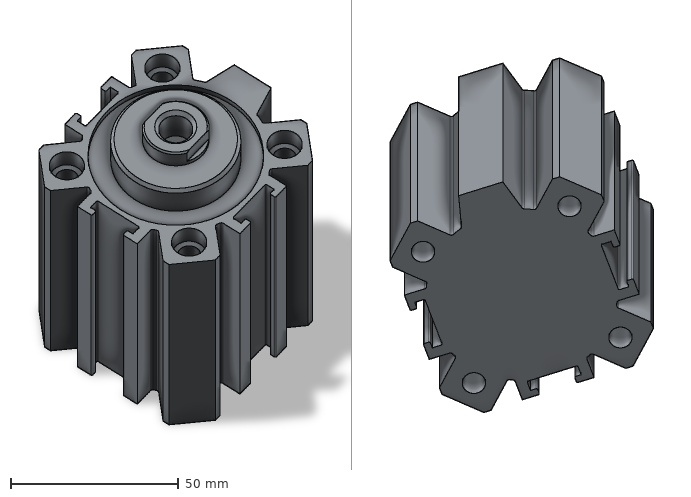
import cadquery as cq
total_height = 94.0
barrel_height = 79.9
collar_top = 87.9

barrel_width = 67.0
barrel_depth = 71.0
core_radius = 28.7
root_fillet = 0.8
lug_width = 17.2
lug_reach = 40.4

rail_reach = 33.3
rail_width = 22.75
slot_floor = 27.9
slot_width = 16.1
slot_opening = 11.75
lip_thickness = 2.2
slot_fillet = 0.5
rail_angles = [-180, -90, 0]

boss_reach = barrel_depth - barrel_width / 2
boss_tip_width = 14.0
boss_foot_width = 19.7
boss_foot = 26.3

bolt_offset = 23.2
bolt_diameter = 7.0
counterbore_diameter = 10.5
counterbore_depth = 6.5

recess_diameter = 52.5
recess_depth = 2.0
collar_diameter = 39.0
collar_chamfer = 1.0

rod_diameter = 20.0
rod_chamfer = 0.6
flat_width = 16.9
flat_height = 4.7
rod_hole_diameter = 10.15
rod_hole_mouth = 12.6
rod_hole_depth = 11.3

recess_floor = barrel_height - recess_depth
rod_bottom = recess_floor


def cylinder(diameter, bottom, top):
    """Upright cylinder on the barrel axis."""
    return cq.Workplane("XY").workplane(offset=bottom).circle(diameter / 2).extrude(top - bottom)


def box_along_x(start, end, width):
    """Bar as tall as the barrel, centred on the X axis."""
    bar = cq.Workplane("XY").box(end - start, width, barrel_height, (False, True, False))
    return bar.translate((start, 0, 0))


def about_axis(body, angle):
    """Copy of a body, turned about the barrel axis."""
    return body.rotate((0, 0, 0), (0, 0, 1), angle)


def make_lugs():
    """Two crossed diagonal bars, their corners cut off by the square envelope."""
    bar = box_along_x(-lug_reach, lug_reach, lug_width)
    envelope = cq.Workplane("XY").rect(barrel_width, barrel_width).extrude(barrel_height)
    return about_axis(bar, 45).union(about_axis(bar, -45)).intersect(envelope)


def make_slot():
    """Channel along the +X rail, as wide as the inside of the T-slot."""
    channel = box_along_x(slot_floor, rail_reach, slot_width)
    return channel.edges("|Z and <X").fillet(slot_fillet)


def make_lips():
    """Pair of lips that narrow the mouth of the channel, their tips rounded."""
    overhang = (slot_width - slot_opening) / 2
    lip = box_along_x(rail_reach - lip_thickness, rail_reach, overhang)
    lip = lip.edges("|Z and <Y").fillet(slot_fillet).translate((0, (slot_opening + overhang) / 2, 0))
    return lip.union(lip.mirror("XZ"))


def make_boss():
    """Tapered boss; its straight root is buried in the core."""
    tip = boss_tip_width / 2
    foot = boss_foot_width / 2
    outline = [(-foot, 0), (foot, 0), (foot, boss_foot), (tip, boss_reach), (-tip, boss_reach), (-foot, boss_foot)]
    return cq.Workplane("XY").polyline(outline).close().extrude(barrel_height)


def make_barrel():
    barrel = cylinder(2 * core_radius, 0, barrel_height).union(make_lugs()).union(make_boss())
    rail = box_along_x(0, rail_reach, rail_width)
    for angle in rail_angles:
        barrel = barrel.union(about_axis(rail, angle))
    root_zone = cq.selectors.BoxSelector(
        (-core_radius, -core_radius, 0), (core_radius, core_radius, barrel_height)
    )
    barrel = barrel.edges("|Z").edges(root_zone).fillet(root_fillet)

    slot = make_slot()
    lips = make_lips()
    for angle in rail_angles:
        barrel = barrel.cut(about_axis(slot, angle)).union(about_axis(lips, angle))

    barrel = (
        barrel.faces(">Z").workplane(origin=(0, 0, barrel_height))
        .rect(2 * bolt_offset, 2 * bolt_offset, forConstruction=True)
        .vertices()
        .cboreHole(bolt_diameter, counterbore_diameter, counterbore_depth)
    )

    barrel = barrel.cut(cylinder(recess_diameter, recess_floor, barrel_height))
    collar = cylinder(collar_diameter, recess_floor, collar_top).faces(">Z").chamfer(collar_chamfer)
    barrel = barrel.union(collar)

    return barrel.cut(cylinder(rod_diameter, rod_bottom, collar_top))


def make_rod():
    rod = cylinder(rod_diameter, rod_bottom, total_height).faces(">Z").chamfer(rod_chamfer)

    flat_bottom = total_height - flat_height
    flats = cylinder(2 * rod_diameter, flat_bottom, total_height).cut(
        cq.Workplane("XY").workplane(offset=flat_bottom).rect(flat_width, 2 * rod_diameter).extrude(flat_height)
    )
    rod = rod.cut(flats)

    hole = cylinder(rod_hole_diameter, total_height - rod_hole_depth, total_height)
    mouth_depth = (rod_hole_mouth - rod_hole_diameter) / 2
    mouth = (
        cq.Workplane("XY").workplane(offset=total_height).circle(rod_hole_mouth / 2)
        .workplane(offset=-mouth_depth).circle(rod_hole_diameter / 2)
        .loft(ruled=True)
    )
    return rod.cut(hole).cut(mouth)


barrel = make_barrel()
rod = make_rod()
result = cq.Compound.makeCompound([barrel.val(), rod.val()])